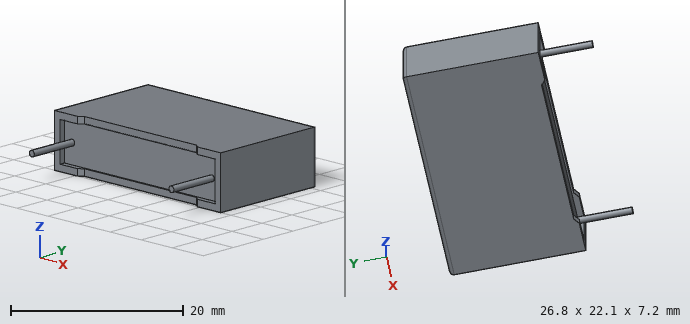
import cadquery as cq


case_width = 26.8
case_depth = 16.1
case_height = 7.2
wall = 0.9
back_fillet = 0.5

relief_depth = 0.5
relief_end_margin = 3.7
relief_slope_run = 0.7

filling_recess = 0.75

lead_diameter = 0.8
lead_pitch = 22.49
lead_reach = 6.0

cavity_width = case_width - 2 * wall
cavity_height = case_height - 2 * wall
cavity_depth = case_depth - wall


def block(width, height, y_front, y_back):
    """Box centred on X and Z, spanning the given Y range."""
    return (
        cq.Workplane("XY")
        .box(width, y_back - y_front, height, centered=(True, False, True))
        .translate((0, y_front, 0))
    )


def make_rim_relief():
    """Trapezoid cutter running through the full height of the rim."""
    half_mouth = case_width / 2 - relief_end_margin
    half_floor = half_mouth - relief_slope_run
    return (
        cq.Workplane("XY")
        .polyline([
            (-half_mouth, 0),
            (-half_floor, relief_depth),
            (half_floor, relief_depth),
            (half_mouth, 0),
        ])
        .close()
        .extrude(case_height / 2, both=True)
    )


def make_case():
    """Box with a rounded back, hollowed from the front, with a relieved rim."""
    shell = block(case_width, case_height, 0, case_depth)
    shell = shell.faces(">Y").edges().fillet(back_fillet)
    cavity = block(cavity_width, cavity_height, 0, cavity_depth)
    return shell.cut(cavity).cut(make_rim_relief())


def make_filling():
    """Resin block filling the cavity up to just below the rim."""
    return block(cavity_width, cavity_height, filling_recess, cavity_depth)


def make_lead(x):
    """Round wire standing on the front face of the filling."""
    return (
        cq.Workplane("XZ", origin=(x, filling_recess, 0))
        .circle(lead_diameter / 2)
        .extrude(filling_recess + lead_reach)
    )


case = make_case()
filling = make_filling()
leads = [make_lead(side * lead_pitch / 2) for side in (-1, 1)]

result = cq.Compound.makeCompound([
    case.val(),
    filling.val(),
    *[lead.val() for lead in leads],
])